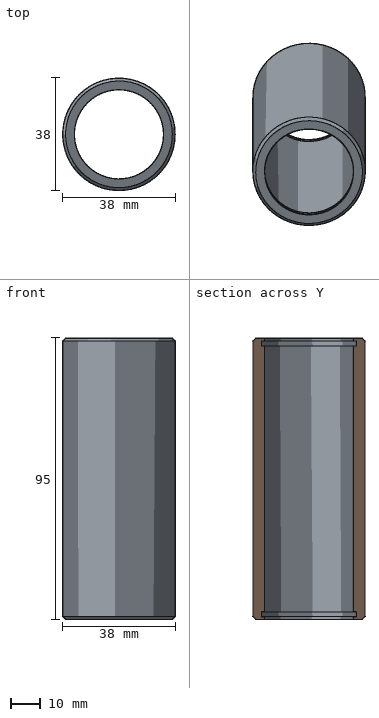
import cadquery as cq

outer_diameter = 38.0
bore_diameter = 30.0
length = 95.0
chamfer_size = 1.0
groove_diameter = 32.0
groove_width = 1.6
lip_thickness = 1.0

lower_groove_base = lip_thickness
upper_groove_base = length - lip_thickness - groove_width


def make_sleeve():
    """Tube standing on the XY plane, chamfered around both outer rims."""
    body = cq.Workplane("XY").circle(outer_diameter / 2).extrude(length)
    body = body.faces("<Z or >Z").edges().chamfer(chamfer_size)
    bore = cq.Workplane("XY").circle(bore_diameter / 2).extrude(length)
    return body.cut(bore)


def make_groove_cutter(base_height):
    """Disc that cuts one internal ring groove into the bore wall."""
    return (
        cq.Workplane("XY")
        .workplane(offset=base_height)
        .circle(groove_diameter / 2)
        .extrude(groove_width)
    )


result = make_sleeve()
for groove_base in (lower_groove_base, upper_groove_base):
    result = result.cut(make_groove_cutter(groove_base))